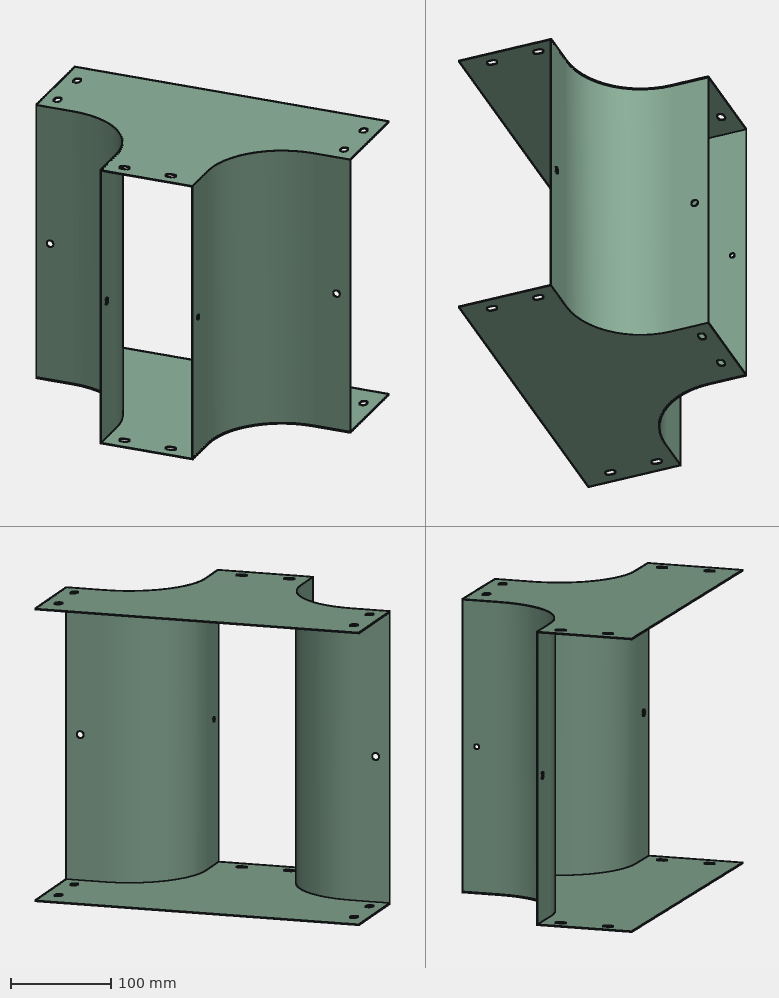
import cadquery as cq

length = 340.0
depth = 220.0
height = 300.0
duct_width = 100.0
bend_radius = 80.0
sheet = 1.0
edge_distance = 15.0
slot_width = 7.0
slot_length = 11.0
run_slot_offsets = (30.0, 80.0)
branch_slot_offsets = (-30.0, 20.0)
wall_hole_diameter = 7.0
far_branch_hole_diameter = 5.0

half_length = length / 2
half_branch = duct_width / 2
back = depth / 2
front = -depth / 2
run_front = back - duct_width
bend_end_x = half_branch + bend_radius
bend_end_y = run_front - bend_radius


def tee_outline(inset):
    """Tee-shaped wire with its run-front and branch sides moved inwards."""
    side = half_branch - inset
    shoulder = run_front + inset
    diagonal = (bend_radius + inset) * 0.5 ** 0.5
    arc_x = bend_end_x - diagonal
    arc_y = bend_end_y + diagonal
    return (
        cq.Workplane("XY")
        .moveTo(-half_length, back)
        .lineTo(half_length, back)
        .lineTo(half_length, shoulder)
        .lineTo(bend_end_x, shoulder)
        .threePointArc((arc_x, arc_y), (side, bend_end_y))
        .lineTo(side, front)
        .lineTo(-side, front)
        .lineTo(-side, bend_end_y)
        .threePointArc((-arc_x, arc_y), (-bend_end_x, shoulder))
        .lineTo(-half_length, shoulder)
        .close()
    )


def plate_slots():
    """Cutters for the slots through both the top and bottom plates."""
    run_points = [
        (side * (half_length - edge_distance), back - offset)
        for side in (-1, 1)
        for offset in run_slot_offsets
    ]
    branch_points = [(offset, front + edge_distance) for offset in branch_slot_offsets]
    plane = cq.Workplane("XY")
    run_slots = plane.pushPoints(run_points).slot2D(slot_length, slot_width, 90).extrude(height)
    branch_slots = plane.pushPoints(branch_points).slot2D(slot_length, slot_width).extrude(height)
    return run_slots.union(branch_slots)


def run_wall_holes():
    """Cutters along Y through the two front walls of the run."""
    hole_x = half_length - edge_distance
    return (
        cq.Workplane("XZ", origin=(0, run_front, height / 2))
        .pushPoints([(-hole_x, 0), (hole_x, 0)])
        .circle(wall_hole_diameter / 2)
        .extrude(2 * sheet, both=True)
    )


def branch_wall_hole(wall_x, diameter):
    """Cutter along X through one side wall of the branch."""
    return (
        cq.Workplane("YZ", origin=(wall_x, front + edge_distance, height / 2))
        .circle(diameter / 2)
        .extrude(2 * sheet, both=True)
    )


body = tee_outline(0).extrude(height)
cavity = tee_outline(sheet).extrude(height - 2 * sheet).translate((0, 0, sheet))

result = (
    body.cut(cavity)
    .cut(plate_slots())
    .cut(run_wall_holes())
    .cut(branch_wall_hole(-half_branch, wall_hole_diameter))
    .cut(branch_wall_hole(half_branch, far_branch_hole_diameter))
)